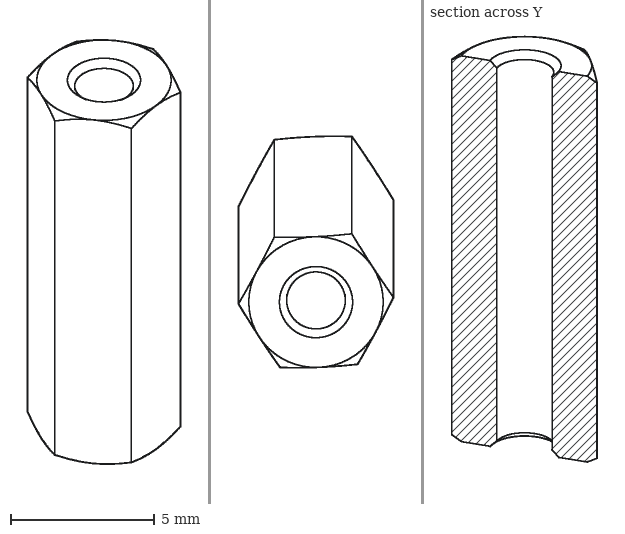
import cadquery as cq
import math

length = 15.0
hexagon_sides = 6
across_flats = 4.7
bore_diameter = 2.05
countersink_diameter = 2.56
countersink_angle = 90.0
corner_chamfer_angle = 30.0

hexagon_half_angle = 180 / hexagon_sides
across_corners = across_flats / math.cos(math.radians(hexagon_half_angle))


def hex_bar():
    """Hexagonal bar with two corners on the X axis."""
    return cq.Workplane("XY").polygon(hexagon_sides, across_corners).extrude(length)


def corner_envelope():
    """Revolved body whose conical ends trim the hexagon corners."""
    face_radius = across_flats / 2
    rim_radius = across_corners
    cone_height = (rim_radius - face_radius) * math.tan(math.radians(corner_chamfer_angle))
    profile = [
        (0, 0),
        (face_radius, 0),
        (rim_radius, cone_height),
        (rim_radius, length - cone_height),
        (face_radius, length),
        (0, length),
    ]
    return cq.Workplane("XZ").polyline(profile).close().revolve(360, (0, 0), (0, 1))


def countersunk_bore():
    """Through bore with a countersink at each end."""
    bore_radius = bore_diameter / 2
    mouth_radius = countersink_diameter / 2
    sink_depth = (mouth_radius - bore_radius) / math.tan(math.radians(countersink_angle / 2))
    profile = [
        (0, 0),
        (mouth_radius, 0),
        (bore_radius, sink_depth),
        (bore_radius, length - sink_depth),
        (mouth_radius, length),
        (0, length),
    ]
    return cq.Workplane("XZ").polyline(profile).close().revolve(360, (0, 0), (0, 1))


result = hex_bar().intersect(corner_envelope()).cut(countersunk_bore())